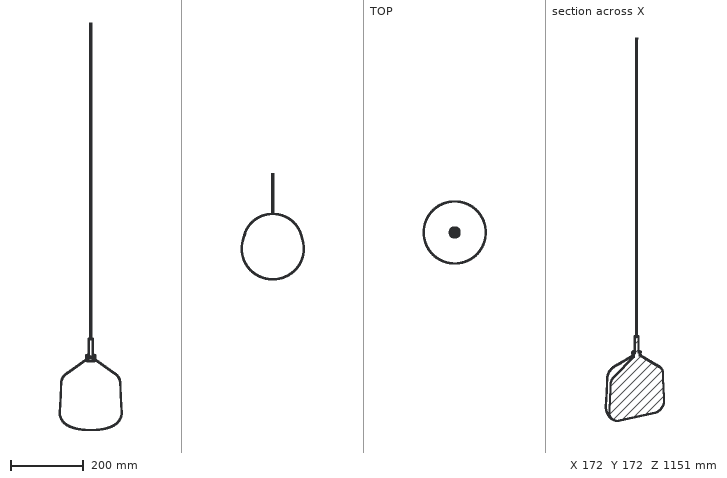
import cadquery as cq

total_height = 1151.0
shade_diameter = 172.0

shade_radius = shade_diameter / 2
base_radius = 60.0
widest_height = 30.0
lower_bulge_radius = 77.0
lower_bulge_height = 10.0
shoulder_radius = 82.0
shoulder_start_height = 115.0
shoulder_mid_radius = 78.0
shoulder_mid_height = 129.0
shoulder_end_radius = 68.0
shoulder_end_height = 139.0
shade_top_radius = 14.0
shade_top_height = 183.0

collar_height = 13.0
flange_thickness = 2.0
flange_radius = 13.0
neck_radius = 9.0

stem_length = 48.0
stem_radius = 6.0
cord_radius = 2.0


def cylinder(radius, bottom, top):
    """Upright cylinder on the lamp axis between two heights."""
    return cq.Workplane("XY").workplane(offset=bottom).circle(radius).extrude(top - bottom)


def make_shade():
    """Solid of revolution about the Z axis."""
    return (
        cq.Workplane("XZ")
        .lineTo(base_radius, 0)
        .threePointArc((lower_bulge_radius, lower_bulge_height), (shade_radius, widest_height))
        .lineTo(shoulder_radius, shoulder_start_height)
        .threePointArc(
            (shoulder_mid_radius, shoulder_mid_height),
            (shoulder_end_radius, shoulder_end_height),
        )
        .lineTo(shade_top_radius, shade_top_height)
        .lineTo(0, shade_top_height)
        .close()
        .revolve(360, (0, 0, 0), (0, 1, 0))
    )


def make_collar():
    """Neck with a flange at its bottom and another at its top."""
    collar_top = shade_top_height + collar_height
    collar = cylinder(neck_radius, shade_top_height, collar_top)
    for flange_bottom in (shade_top_height, collar_top - flange_thickness):
        collar = collar.union(cylinder(flange_radius, flange_bottom, flange_bottom + flange_thickness))
    return collar


stem_bottom = shade_top_height + collar_height
stem_top = stem_bottom + stem_length
stem = cylinder(stem_radius, stem_bottom, stem_top)
cord = cylinder(cord_radius, stem_top, total_height)

result = make_shade().union(make_collar()).union(stem).union(cord)